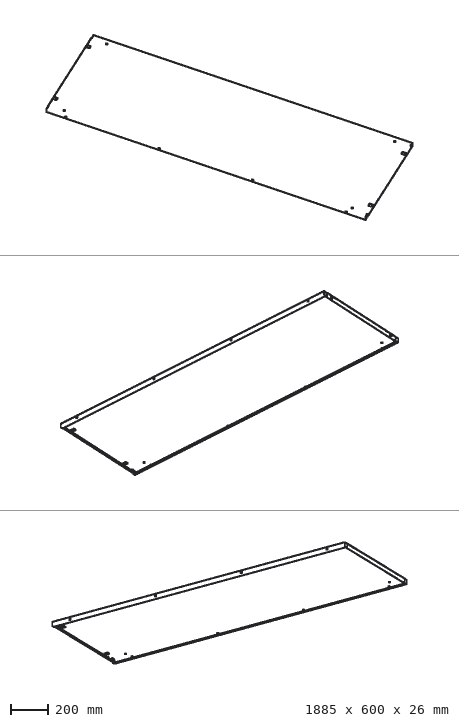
import cadquery as cq

length = 1885.0
width = 600.0
height = 26.0

sheet = 2.0
bend_inner = 0.2
bend_outer = bend_inner + sheet

side_lip = 15.0
side_setback = 2.8
side_length = length - 2 * side_setback

end_height = 20.0
end_lip = 13.0
end_width = 552.0
relief_width = 8.0
relief_depth = 5.0

plate_hole_diameter = 8.5
plate_hole_x = 848.0
plate_hole_y = 270.0

slot_length = 20.0
slot_width = 17.0
slot_inset = 4.0
slot_x = length / 2 - slot_inset - slot_length / 2
slot_y = 210.0

side_hole_diameter = 10.0
side_hole_pitch = 550.0
side_hole_count = 4

end_hole_diameter = 15.0
end_hole_y = 238.0

top = height / 2
end_middle_z = top - end_height / 2

sheet_cut = 3 * sheet


def bar(plane, middle_z, across, depth, run, bend_radius):
    """Rectangular bar with rounded long edges, centred along the normal of the plane."""
    return (
        cq.Workplane(plane, origin=(0, 0, middle_z))
        .rect(across, depth).extrude(run / 2, both=True)
        .edges("|" + ("X" if plane == "YZ" else "Y")).fillet(bend_radius)
    )


def channel(plane, middle_z, across, depth, run, lip):
    """Flat top, two flanges folded down and two lips folded inward along the bottom."""
    outer = bar(plane, middle_z, across, depth, run, bend_outer)
    inner = bar(plane, middle_z, across - 2 * sheet, depth - 2 * sheet, run, bend_inner)
    opening = (
        cq.Workplane(plane, origin=(0, 0, middle_z - depth / 2))
        .rect(across - 2 * lip, 2 * sheet_cut).extrude(run / 2, both=True)
    )
    return outer.cut(inner).cut(opening)


def corner_cuts():
    """Plate material removed along the short ends, for the end bends and the corner reliefs."""
    cut_width = end_width + 2 * relief_width
    return (
        cq.Workplane("XY", origin=(0, 0, top - sheet_cut / 2))
        .rarray(length, 19, 2, 1).box(2 * relief_depth, cut_width, sheet_cut)
    )


def plate_corners(x, y):
    """Four points at (+-x, +-y) on the top face, ready for a sketch."""
    return cq.Workplane("XY", origin=(0, 0, top)).rarray(2 * x, 2 * y, 2, 2)


def plate_holes():
    corners = plate_corners(plate_hole_x, plate_hole_y)
    return corners.circle(plate_hole_diameter / 2).extrude(-sheet_cut)


def plate_slots():
    return plate_corners(slot_x, slot_y).rect(slot_length, slot_width).extrude(-sheet_cut)


def side_holes():
    """Holes through both long flanges, at mid height."""
    return (
        cq.Workplane("XZ").rarray(side_hole_pitch, 19, side_hole_count, 1)
        .circle(side_hole_diameter / 2).extrude(width, both=True)
    )


def end_holes():
    """Holes through the -X flange only, at its mid height."""
    return (
        cq.Workplane("YZ", origin=(-length / 2, 0, end_middle_z))
        .rarray(2 * end_hole_y, 19, 2, 1)
        .circle(end_hole_diameter / 2).extrude(sheet_cut)
    )


long_sides = channel("YZ", 0, width, height, side_length, side_lip)
short_ends = channel("XZ", end_middle_z, length, end_height, end_width, end_lip)
shelf = long_sides.cut(corner_cuts()).union(short_ends)
result = shelf.cut(plate_holes()).cut(plate_slots()).cut(side_holes()).cut(end_holes())